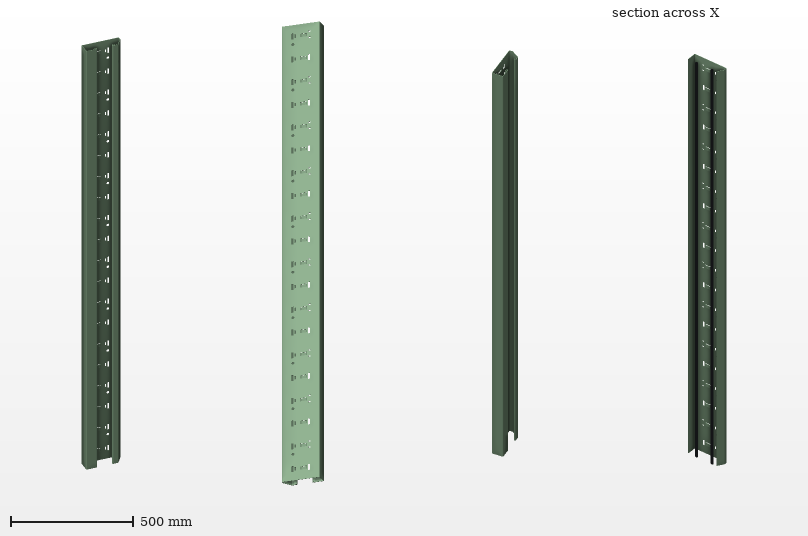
import cadquery as cq
import math

LENGTH = 2000.0
DEPTH = 52.0
WIDTH = 165.0
SHEET = 1.8
BEND_RADIUS = 3.0

BACK_X = -DEPTH / 2
FRONT_X = DEPTH / 2
SIDE_Y = WIDTH / 2

SLANT_START_X = -10.0
SLANT_ANGLE = 34.0
SLANT_DROP = (FRONT_X - SLANT_START_X) * math.tan(math.radians(SLANT_ANGLE))

CURL_RADIUS = 4.5
CURL_CENTER_Y = 38.0
LIP_END_Y = 45.0

GROUP_PITCH = 100.0
GROUP_COUNT = round(LENGTH / GROUP_PITCH)

BAR_Y = 35.0
BAR_WIDTH = 8.0
BAR_HEIGHT = 25.0

WINDOW_Y = 25.0
WINDOW_WIDTH = 5.0
PUNCH_HEIGHT = 15.0

BRIDGE_Y = -12.0
BRIDGE_WIDTH = 30.0
BRIDGE_RISE = 5.0
BRIDGE_RAMP = 5.0

SLIT_Y = -38.0
SLIT_WIDTH = 10.0
SLIT_HEIGHT = 5.2
SLIT_OFFSET = 13.5

ROUND_HOLE_Y = 35.0
ROUND_HOLE_DIAMETER = 12.0
ROUND_HOLE_GAP = 15.0
ROUND_HOLE_DROP = BAR_HEIGHT / 2 + ROUND_HOLE_GAP + ROUND_HOLE_DIAMETER / 2


def extrude_full_length(profile):
    """Extrude an XY profile over the whole length of the rail."""
    return profile.extrude(LENGTH).translate((0, 0, -LENGTH / 2))


def shell():
    """Folded sheet with an open gap in the front wall."""
    outline = [
        (BACK_X, -SIDE_Y),
        (FRONT_X, -SIDE_Y),
        (FRONT_X, SIDE_Y - SLANT_DROP),
        (SLANT_START_X, SIDE_Y),
        (BACK_X, SIDE_Y),
    ]
    outer_profile = cq.Workplane("XY").polyline(outline).close()
    inner_profile = cq.Workplane("XY").polyline(outline).close().offset2D(-SHEET, "intersection")
    outside = extrude_full_length(outer_profile).edges("|Z").fillet(BEND_RADIUS)
    inside = extrude_full_length(inner_profile).edges("|Z").fillet(BEND_RADIUS - SHEET)
    gap = cq.Workplane("XY").box(DEPTH, 2 * CURL_CENTER_Y, LENGTH).translate((FRONT_X, 0, 0))
    return outside.cut(inside).cut(gap)


def lip():
    """Front edge of the +Y half, curled inward and back on itself."""
    inner_radius = CURL_RADIUS - SHEET
    center_x = FRONT_X - CURL_RADIUS
    profile = (
        cq.Workplane("XY")
        .moveTo(FRONT_X, CURL_CENTER_Y)
        .threePointArc((center_x, CURL_CENTER_Y - CURL_RADIUS), (center_x - CURL_RADIUS, CURL_CENTER_Y))
        .lineTo(center_x - CURL_RADIUS, LIP_END_Y)
        .lineTo(center_x - inner_radius, LIP_END_Y)
        .lineTo(center_x - inner_radius, CURL_CENTER_Y)
        .threePointArc((center_x, CURL_CENTER_Y - inner_radius), (center_x + inner_radius, CURL_CENTER_Y))
        .close()
    )
    return extrude_full_length(profile)


def punch(y, z, width, height):
    """Rectangular cutter through the back wall."""
    return cq.Workplane("XY").box(2 * SHEET, width, height).translate((BACK_X + SHEET / 2, y, z))


def bridge(z):
    """Strip of the back wall pressed inward, ramped at both ends and open above and below."""
    half = BRIDGE_WIDTH / 2
    crest = half - BRIDGE_RAMP
    inner_x = BACK_X + SHEET
    profile = [
        (BACK_X, BRIDGE_Y - half),
        (BACK_X + BRIDGE_RISE, BRIDGE_Y - crest),
        (BACK_X + BRIDGE_RISE, BRIDGE_Y + crest),
        (BACK_X, BRIDGE_Y + half),
        (inner_x, BRIDGE_Y + half),
        (inner_x + BRIDGE_RISE, BRIDGE_Y + crest),
        (inner_x + BRIDGE_RISE, BRIDGE_Y - crest),
        (inner_x, BRIDGE_Y - half),
    ]
    strip = cq.Workplane("XY").polyline(profile).close().extrude(PUNCH_HEIGHT)
    return strip.translate((0, 0, z - PUNCH_HEIGHT / 2))


def slit_pair(z):
    """Two small slits, one above and one below the group centre."""
    return [punch(SLIT_Y, z + side * SLIT_OFFSET, SLIT_WIDTH, SLIT_HEIGHT) for side in (1, -1)]


def round_hole(z):
    """Round cutter through the back wall, below a group."""
    hole = cq.Workplane("YZ").circle(ROUND_HOLE_DIAMETER / 2).extrude(2 * SHEET)
    return hole.translate((BACK_X - SHEET / 2, ROUND_HOLE_Y, z - ROUND_HOLE_DROP))


cutters = []
bridges = []
for index in range(GROUP_COUNT):
    group_z = LENGTH / 2 - GROUP_PITCH * (index + 0.5)
    cutters.append(punch(BAR_Y, group_z, BAR_WIDTH, BAR_HEIGHT))
    cutters.append(punch(WINDOW_Y, group_z, WINDOW_WIDTH, PUNCH_HEIGHT))
    cutters.append(punch(BRIDGE_Y, group_z, BRIDGE_WIDTH, PUNCH_HEIGHT))
    bridges.append(bridge(group_z))

    if index % 2 == 0:
        cutters.extend(slit_pair(group_z))
        cutters.append(round_hole(group_z))
    else:
        cutters.append(punch(-BAR_Y, group_z, BAR_WIDTH, BAR_HEIGHT))

plus_y_lip = lip()
minus_y_lip = plus_y_lip.mirror("XZ")

body = shell().union(plus_y_lip).union(minus_y_lip).val()
body = body.cut(*[cutter.val() for cutter in cutters])
result = cq.Workplane(body.fuse(*[strip.val() for strip in bridges]))